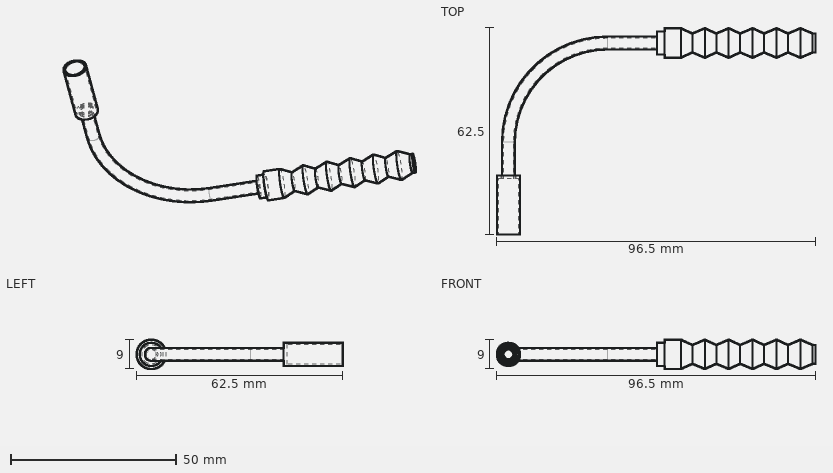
import cadquery as cq
import math

overall_length = 96.5

tube_diameter = 4.0
tube_radius = tube_diameter / 2
tube_bore_diameter = 3.0
tube_bore_radius = tube_bore_diameter / 2
bend_radius = 30.0
handle_leg_length = 15.0
sleeve_leg_length = 10.0

sleeve_diameter = 7.0
sleeve_radius = sleeve_diameter / 2
sleeve_bore_radius = 3.0
sleeve_length = 17.95
sleeve_floor = 1.0
tube_clearance = 0.3

collar_radius = sleeve_radius
collar_length = 2.3
grip_diameter = 9.0
grip_radius = grip_diameter / 2
grip_length = 4.9
waist_radius = 2.9
lead_cone_length = 3.5
rise_length = 3.8
fall_length = 3.5
rib_count = 5
tip_length = 0.9

handle_start = bend_radius + handle_leg_length
handle_end = overall_length - sleeve_radius
sleeve_top = -bend_radius - sleeve_leg_length
tube_end = sleeve_top - sleeve_floor


def tube_run(radius):
    """Solid round rod swept along the tube centre line."""
    bend_end = (bend_radius, 0)
    mid_offset = bend_radius * (1 - math.cos(math.radians(45)))
    path = (
        cq.Workplane("XY")
        .moveTo(0, tube_end)
        .lineTo(0, -bend_radius)
        .threePointArc((mid_offset, -mid_offset), bend_end)
        .lineTo(handle_start, 0)
    )
    start = cq.Workplane("XZ", origin=(0, tube_end, 0))
    return start.circle(radius).sweep(path)


def make_tube():
    return tube_run(tube_radius).cut(tube_run(tube_bore_radius))


def make_sleeve():
    """Cup open towards -Y, with a clearance hole for the tube in its floor."""
    body = cq.Workplane("XZ", origin=(0, sleeve_top, 0)).circle(sleeve_radius).extrude(sleeve_length)
    hole_radius = tube_radius + tube_clearance
    bore_depth = sleeve_length - sleeve_floor
    bore = cq.Workplane("XZ", origin=(0, tube_end, 0)).circle(sleeve_bore_radius).extrude(bore_depth)
    tube_hole = cq.Workplane("XZ", origin=(0, sleeve_top, 0)).circle(hole_radius).extrude(sleeve_floor)
    return body.cut(bore).cut(tube_hole)


def make_handle():
    """Collar, plain grip, then a row of double-cone ribs and a short tip."""
    grip_start = handle_start + collar_length
    grip_end = grip_start + grip_length
    waist = grip_end + lead_cone_length

    profile = [
        (handle_start, 0),
        (handle_start, collar_radius),
        (grip_start, collar_radius),
        (grip_start, grip_radius),
        (grip_end, grip_radius),
        (waist, waist_radius),
    ]
    for rib in range(rib_count):
        rib_start = waist + rib * (rise_length + fall_length)
        profile.append((rib_start + rise_length, grip_radius))
        if rib < rib_count - 1:
            profile.append((rib_start + rise_length + fall_length, waist_radius))
    profile += [
        (handle_end - tip_length, waist_radius),
        (handle_end, waist_radius),
        (handle_end, 0),
    ]
    return cq.Workplane("XY").polyline(profile).close().revolve(360, (0, 0, 0), (1, 0, 0))


tube = make_tube()
sleeve = make_sleeve()
handle = make_handle()

result = cq.Compound.makeCompound([tube.val(), sleeve.val(), handle.val()])